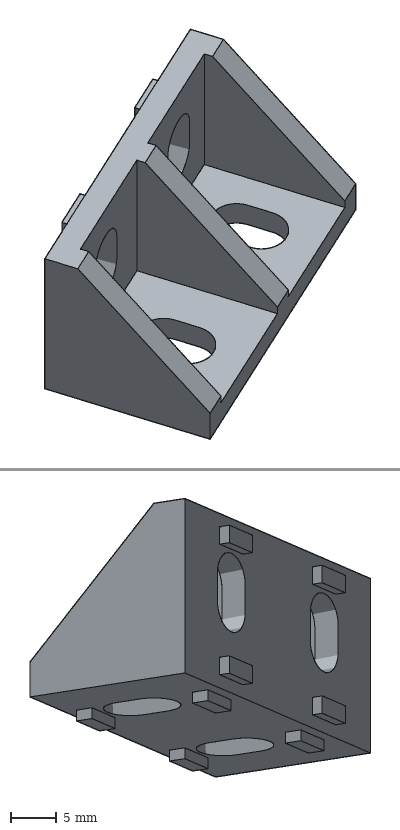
import cadquery as cq

length = 40.0
leg = 20.0
edge_height = 4.0
wall = 3.0

pocket_length = (length - 3 * wall) / 2
pocket_offset = (pocket_length + wall) / 2

station_offset = length / 4
slot_length = 9.0
slot_width = 6.0
slot_centre = 11.5

tab_length = 5.0
tab_width = 2.0
tab_height = 1.25
tab_inset = 1.5
tab_starts = (tab_inset, leg - tab_inset - tab_width)


def make_body():
    """Wedge with its back on X = 0 and its base on Z = 0, centred on Y."""
    profile = [(0, 0), (leg, 0), (leg, edge_height), (edge_height, leg), (0, leg)]
    return cq.Workplane("XZ").polyline(profile).close().extrude(length / 2, both=True)


def make_pocket(y):
    """Space between two walls, open to the front and top."""
    pocket = cq.Workplane("XY").box(leg, pocket_length, leg, centered=(False, True, False))
    return pocket.translate((wall, y, wall))


def make_base_slot(y):
    """Slot through the base plate, long along X."""
    return cq.Workplane("XY").center(slot_centre, y).slot2D(slot_length, slot_width).extrude(wall)


def make_back_slot(y):
    """Slot through the back plate, long along Z."""
    return cq.Workplane("YZ").center(y, slot_centre).slot2D(slot_length, slot_width, 90).extrude(wall)


def make_base_tab(y, start):
    """Tab below the base plate."""
    tab = cq.Workplane("XY").box(tab_width, tab_length, tab_height, centered=(False, True, False))
    return tab.translate((start, y, -tab_height))


def make_back_tab(y, start):
    """Tab behind the back plate."""
    tab = cq.Workplane("XY").box(tab_height, tab_length, tab_width, centered=(False, True, False))
    return tab.translate((-tab_height, y, start))


result = make_body()
for side in (-1, 1):
    station = side * station_offset
    result = result.cut(make_pocket(side * pocket_offset))
    result = result.cut(make_base_slot(station)).cut(make_back_slot(station))
    for start in tab_starts:
        result = result.union(make_base_tab(station, start)).union(make_back_tab(station, start))